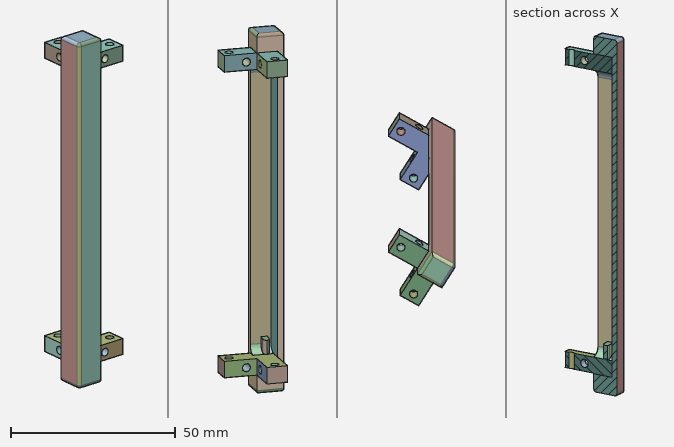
import cadquery as cq
import math

post_length = 113.5
post_width = 8.6
wall = 2.0
channel_width = post_width - wall
end_block = 5.9
edge_radius = 1.0

arm_length = 10.3
bracket_height = 5.2
hole_diameter = 2.5
vertical_hole_inset = 2.5
cross_hole_inset = 7.0

gusset_radius = 2.7
rib_width = 2.0
rib_reach = 3.1
rib_height = 4.9
rib_wall_gap = 1.1
rib_top_drop = 0.5
rib_nose_angle = 75.0

lower_bracket_bottom = end_block
lower_bracket_top = lower_bracket_bottom + bracket_height
upper_bracket_top = post_length - end_block
upper_bracket_bottom = upper_bracket_top - bracket_height


def corner_box(x_min, x_max, y_min, y_max, z_min, z_max):
    """Box given by its limits along each axis."""
    return cq.Workplane("XY").box(
        x_max - x_min, y_max - y_min, z_max - z_min, centered=False
    ).translate((x_min, y_min, z_min))


def make_gusset(bracket_face, direction):
    """Concave fillet from a bracket face to the +X wall; direction is +1 up or -1 down."""
    tip_x = channel_width - gusset_radius
    tip_z = bracket_face + direction * gusset_radius
    bulge = gusset_radius * 0.5 ** 0.5
    profile = (
        cq.Workplane("XZ")
        .moveTo(channel_width, bracket_face)
        .lineTo(tip_x, bracket_face)
        .threePointArc((tip_x + bulge, tip_z - direction * bulge), (channel_width, tip_z))
        .close()
    )
    return profile.extrude(channel_width)


def make_rib():
    """Upright rib on the +X wall with a pointed-arch nose and a top sloping down from the wall."""
    y_low = -channel_width + rib_wall_gap
    y_high = y_low + rib_width
    y_ridge = (y_low + y_high) / 2
    nose_angle = math.radians(rib_nose_angle)
    flank_radius = rib_width / 2 / (1 - math.cos(nose_angle))
    ridge_x = channel_width - rib_reach
    shoulder_x = ridge_x + flank_radius * math.sin(nose_angle)
    flank_x = shoulder_x - flank_radius * math.sin(nose_angle / 2)
    flank_inset = flank_radius * (1 - math.cos(nose_angle / 2))
    blank = (
        cq.Workplane("XY", origin=(0, 0, lower_bracket_top))
        .moveTo(channel_width, y_low)
        .lineTo(shoulder_x, y_low)
        .threePointArc((flank_x, y_low + flank_inset), (ridge_x, y_ridge))
        .threePointArc((flank_x, y_high - flank_inset), (shoulder_x, y_high))
        .lineTo(channel_width, y_high)
        .close()
        .extrude(rib_height)
    )
    top = lower_bracket_top + rib_height
    slope_wedge = (
        cq.Workplane("XZ")
        .polyline([(ridge_x, top - rib_top_drop), (channel_width, top), (ridge_x, top)])
        .close()
        .extrude(channel_width)
    )
    return blank.cut(slope_wedge)


def make_post():
    """Square bar with rounded edges, cutaway, gussets and rib."""
    bar = corner_box(0, post_width, -post_width, 0, 0, post_length)
    bar = bar.edges("|Z and >X and <Y").fillet(edge_radius)
    bar = bar.faces("<Z or >Z").edges().fillet(edge_radius)
    cutaway = corner_box(0, channel_width, -channel_width, 0, lower_bracket_bottom, upper_bracket_top)
    return (
        bar.cut(cutaway)
        .union(make_gusset(lower_bracket_top, 1))
        .union(make_gusset(upper_bracket_bottom, -1))
        .union(make_rib())
    )


def make_bracket(bottom):
    """L-shaped bracket with an upright and a crosswise hole in each arm."""
    top = bottom + bracket_height
    mid_height = bottom + bracket_height / 2
    arm_center = channel_width / 2
    x_arm = corner_box(-arm_length, channel_width, -channel_width, 0, bottom, top)
    y_arm = corner_box(0, channel_width, -channel_width, arm_length, bottom, top)
    vertical_reach = arm_length - vertical_hole_inset
    cross_reach = arm_length - cross_hole_inset
    hole_radius = hole_diameter / 2

    upright_holes = (
        cq.Workplane("XY", origin=(0, 0, bottom))
        .pushPoints([(-vertical_reach, -arm_center), (arm_center, vertical_reach)])
        .circle(hole_radius)
        .extrude(bracket_height)
    )
    hole_along_y = (
        cq.Workplane("XZ")
        .center(-cross_reach, mid_height)
        .circle(hole_radius)
        .extrude(channel_width)
    )
    hole_along_x = (
        cq.Workplane("YZ")
        .center(cross_reach, mid_height)
        .circle(hole_radius)
        .extrude(channel_width)
    )
    return x_arm.union(y_arm).cut(upright_holes).cut(hole_along_y).cut(hole_along_x)


post = make_post()
brackets = [make_bracket(bottom) for bottom in (lower_bracket_bottom, upper_bracket_bottom)]

result = cq.Compound.makeCompound([post.val(), *[bracket.val() for bracket in brackets]])